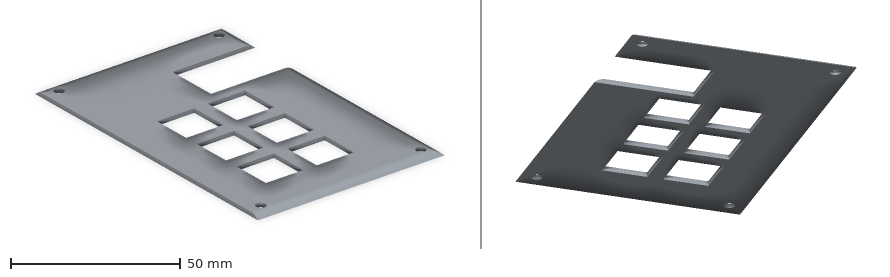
import cadquery as cq
import math

PLATE_LENGTH = 106.55
PLATE_WIDTH = 70.05
PLATE_THICKNESS = 1.5

EDGE_RADIUS = 5.0

SCREW_HOLE_DIAMETER = 3.4
SCREW_HOLE_MARGIN = 5.0

KEY_SIZE = 14.0
KEY_PITCH = 19.05
KEY_COLUMNS = 3
KEY_ROWS = 2
KEY_GRID_CENTER_X = 11.55
KEY_GRID_CENTER_Y = -3.25

NOTCH_WIDTH = 18.5
NOTCH_DEPTH = 31.0
NOTCH_LEFT_MARGIN = 15.8

HALF_LENGTH = PLATE_LENGTH / 2
HALF_WIDTH = PLATE_WIDTH / 2

ARC_CENTER_Z = PLATE_THICKNESS - EDGE_RADIUS
EDGE_RUN = math.sqrt(EDGE_RADIUS**2 - ARC_CENTER_Z**2)
ARC_HALF_ANGLE = math.asin(EDGE_RUN / EDGE_RADIUS) / 2
ARC_MID_RUN = EDGE_RADIUS * math.sin(ARC_HALF_ANGLE)
ARC_MID_Z = ARC_CENTER_Z + EDGE_RADIUS * math.cos(ARC_HALF_ANGLE)


def rounded_both_ends():
    """Bar along Y whose cross-section is rounded at its -X and +X ends."""
    flat_half = HALF_LENGTH - EDGE_RUN
    arc_mid_x = flat_half + ARC_MID_RUN
    return (
        cq.Workplane("XZ")
        .moveTo(-HALF_LENGTH, 0)
        .lineTo(HALF_LENGTH, 0)
        .threePointArc((arc_mid_x, ARC_MID_Z), (flat_half, PLATE_THICKNESS))
        .lineTo(-flat_half, PLATE_THICKNESS)
        .threePointArc((-arc_mid_x, ARC_MID_Z), (-HALF_LENGTH, 0))
        .close()
        .extrude(HALF_WIDTH, both=True)
    )


def rounded_back():
    """Bar along X whose cross-section is rounded at +Y and square at -Y."""
    flat_end = HALF_WIDTH - EDGE_RUN
    return (
        cq.Workplane("YZ")
        .moveTo(-HALF_WIDTH, 0)
        .lineTo(HALF_WIDTH, 0)
        .threePointArc((flat_end + ARC_MID_RUN, ARC_MID_Z), (flat_end, PLATE_THICKNESS))
        .lineTo(-HALF_WIDTH, PLATE_THICKNESS)
        .close()
        .extrude(HALF_LENGTH, both=True)
    )


def screw_holes():
    """Through cylinders at the four corners."""
    spacing_x = PLATE_LENGTH - 2 * SCREW_HOLE_MARGIN
    spacing_y = PLATE_WIDTH - 2 * SCREW_HOLE_MARGIN
    return (
        cq.Workplane("XY")
        .rect(spacing_x, spacing_y, forConstruction=True)
        .vertices()
        .circle(SCREW_HOLE_DIAMETER / 2)
        .extrude(PLATE_THICKNESS)
    )


def key_openings():
    """Grid of square through openings."""
    return (
        cq.Workplane("XY")
        .center(KEY_GRID_CENTER_X, KEY_GRID_CENTER_Y)
        .rarray(KEY_PITCH, KEY_PITCH, KEY_COLUMNS, KEY_ROWS)
        .rect(KEY_SIZE, KEY_SIZE)
        .extrude(PLATE_THICKNESS)
    )


def notch():
    """Block that removes the notch through the +Y edge."""
    return (
        cq.Workplane("XY")
        .box(NOTCH_WIDTH, NOTCH_DEPTH, PLATE_THICKNESS, centered=False)
        .translate((NOTCH_LEFT_MARGIN - HALF_LENGTH, HALF_WIDTH - NOTCH_DEPTH, 0))
    )


plate = rounded_both_ends().intersect(rounded_back())
result = plate.cut(screw_holes()).cut(key_openings()).cut(notch())